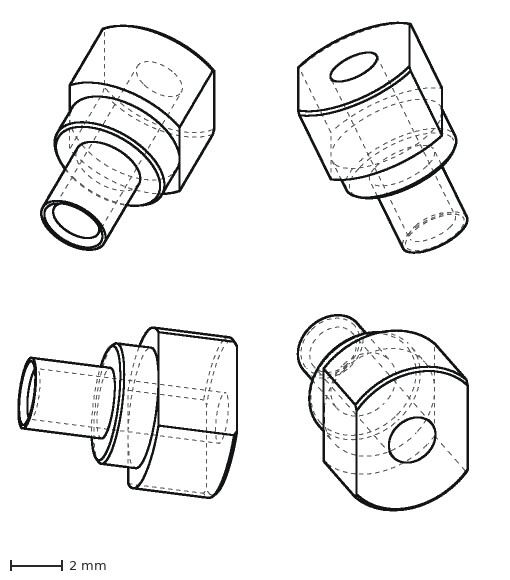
import cadquery as cq

total_length = 7.87
head_diameter = 6.35
flat_width = 4.76
head_length = 3.18
tube_diameter = 2.79
tube_length = 3.18
bore_diameter = 2.0
bore_mouth_diameter = 2.52
bore_mouth_depth = 0.26
edge_chamfer = 0.125

collar_length = total_length - head_length - tube_length


def cylinder(start_y, diameter, length):
    """Solid cylinder running from start_y toward +Y."""
    plane = cq.Plane(origin=(0, start_y, 0), xDir=(1, 0, 0), normal=(0, 1, 0))
    return cq.Workplane(plane).circle(diameter / 2).extrude(length)


tube = cylinder(0, tube_diameter, tube_length)

collar = cylinder(tube_length, flat_width, collar_length).faces("<Y").chamfer(edge_chamfer)

head_start = tube_length + collar_length
head = cylinder(head_start, head_diameter, head_length).faces(">Y").chamfer(edge_chamfer)
flats = cq.Workplane("XY").box(flat_width, 2 * total_length, head_diameter)
head = head.intersect(flats)

bore = cylinder(0, bore_diameter, total_length)
mouth = cq.Workplane("XY").add(
    cq.Solid.makeCone(
        bore_mouth_diameter / 2,
        bore_diameter / 2,
        bore_mouth_depth,
        pnt=cq.Vector(0, 0, 0),
        dir=cq.Vector(0, 1, 0),
    )
)

result = tube.union(collar).union(head).cut(bore).cut(mouth)